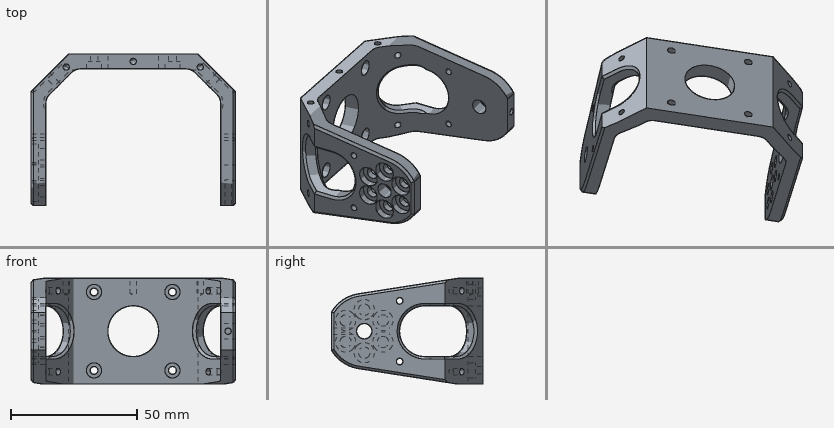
import cadquery as cq
import math

WIDTH = 81.0
DEPTH = 60.0
HEIGHT = 41.9
WALL = 6.0
CORNER_CUT = 15.0
INNER_FILLET = 5.0

NOSE_RADIUS = 15.0
PIVOT_TO_TIP = 13.0
TAPER_START = 10.0
ARM_CHAMFER = 1.0

WINDOW_WIDTH = 20.0
WINDOW_FRONT_CENTER = 23.0
WINDOW_REAR_CENTER = 10.0
WINDOW_CHAMFER = 1.0

MOTOR_BORE = 20.0
MOTOR_SCREW_PITCH = 31.0
MOTOR_SCREW_HOLE = 3.0
MOTOR_SCREW_HEAD = 6.0
MOTOR_HEAD_DEPTH = 3.0

PIVOT_BORE = 6.0
FLANGE_SCREWS = 6
FLANGE_CIRCLE_RADIUS = 8.5
FLANGE_SCREW_HOLE = 4.5
FLANGE_SCREW_HEAD = 8.0
FLANGE_HEAD_DEPTH = 3.0

SMALL_HOLE = 2.5
ARM_HOLE_FROM_REAR = 33.0
ARM_HOLE_PITCH = 24.0
ANGLED_HOLE_FROM_REAR = 8.4
ANGLED_HOLE_PITCH = 32.0
TOP_HOLE_X = 26.5
TOP_HOLE_DEPTH = 6.0
DRILL_POINT_ANGLE = 118.0

SIDE_X = WIDTH / 2
INNER_X = SIDE_X - WALL
TIP_Y = -PIVOT_TO_TIP
REAR_Y = TIP_Y + DEPTH
PLATE_Y = REAR_Y - WALL
CORNER_X = SIDE_X - CORNER_CUT
CORNER_Y = REAR_Y - CORNER_CUT
HALF_BEND = math.tan(math.radians(22.5))
MITRE = WALL * HALF_BEND
SIDES = (-1, 1)
OVERCUT = 5.0


def plan_body():
    """U-shaped plan, extruded over the full height, with rounded inner corners."""
    outer = [(SIDE_X, TIP_Y), (SIDE_X, CORNER_Y), (CORNER_X, REAR_Y)]
    inner = [(CORNER_X - MITRE, PLATE_Y), (INNER_X, CORNER_Y - MITRE), (INNER_X, TIP_Y)]
    left_outer = [(-x, y) for x, y in outer]
    left_inner = [(-x, y) for x, y in inner]
    points = left_outer + outer[::-1] + inner[::-1] + left_inner
    body = cq.Workplane("XY").polyline(points).close().extrude(HEIGHT / 2, both=True)
    for x, y in inner[:2]:
        for side in SIDES:
            corner = cq.selectors.NearestToPointSelector((side * x, y, 0))
            body = body.edges("|Z").edges(corner).fillet(INNER_FILLET)
    return body


def side_profile():
    """Side outline: full height at the rear, tapering tangentially into the nose."""
    top = HEIGHT / 2
    taper_y = REAR_Y - TAPER_START
    reach = math.hypot(taper_y, top)
    tangent_angle = math.atan2(top, taper_y) + math.acos(NOSE_RADIUS / reach)
    tangent_y = NOSE_RADIUS * math.cos(tangent_angle)
    tangent_z = NOSE_RADIUS * math.sin(tangent_angle)
    tip_z = math.sqrt(NOSE_RADIUS**2 - PIVOT_TO_TIP**2)
    mid_angle = (tangent_angle + math.atan2(tip_z, TIP_Y)) / 2
    mid_y = NOSE_RADIUS * math.cos(mid_angle)
    mid_z = NOSE_RADIUS * math.sin(mid_angle)
    return (
        cq.Workplane("YZ", origin=(-SIDE_X, 0, 0))
        .moveTo(REAR_Y, top)
        .lineTo(taper_y, top)
        .lineTo(tangent_y, tangent_z)
        .threePointArc((mid_y, mid_z), (TIP_Y, tip_z))
        .lineTo(TIP_Y, -tip_z)
        .threePointArc((mid_y, -mid_z), (tangent_y, -tangent_z))
        .lineTo(taper_y, -top)
        .lineTo(REAR_Y, -top)
        .close()
        .extrude(WIDTH)
    )


def chamfer_arm_rims(body):
    """Bevel the outer rim of both arms, except along the vertical rear corner."""
    ahead_of_corner = cq.selectors.BoxSelector(
        (-WIDTH, -DEPTH, -HEIGHT),
        (WIDTH, CORNER_Y - ARM_CHAMFER, HEIGHT),
    )
    rims = body.faces("<X or >X").edges(ahead_of_corner)
    return rims.chamfer(ARM_CHAMFER)


def angled_plane(side, from_rear):
    """Plane on an outer angled face; local x runs towards the arm, normal points outwards."""
    x = side * (CORNER_X + from_rear)
    return cq.Plane(origin=(x, REAR_Y - from_rear, 0), xDir=(side, -1, 0), normal=(side, 1, 0))


def window_run(plane, length):
    """Slot through one wall: a round end at the plane's origin, open along local x."""
    run = cq.Workplane(plane).circle(WINDOW_WIDTH / 2)
    run = run.extrude(WALL + OVERCUT, both=True)
    straight = cq.Workplane(plane).center(length / 2, 0)
    straight = straight.rect(length, WINDOW_WIDTH).extrude(WALL + OVERCUT, both=True)
    return run.union(straight)


def cut_window(body, side):
    """Window through the arm and, square to it, through the angled wall."""
    arm_y = REAR_Y - WINDOW_FRONT_CENTER
    arm_plane = cq.Plane(origin=(side * SIDE_X, arm_y, 0), xDir=(0, 1, 0), normal=(side, 0, 0))
    arm_run = window_run(arm_plane, CORNER_Y - arm_y)
    angled_length = (CORNER_CUT - WINDOW_REAR_CENTER) * math.sqrt(2)
    angled_run = window_run(angled_plane(side, WINDOW_REAR_CENTER), angled_length)
    return body.cut(arm_run).cut(angled_run)


def chamfer_window_outside(body, side):
    """Bevel the outer rim of one window, on the arm and on the angled wall."""
    box_top = WINDOW_WIDTH / 2 + WINDOW_CHAMFER / 2
    window_box = cq.selectors.BoxSelector(
        (side * CORNER_X / 2, 0, -box_top),
        (side * WIDTH, REAR_Y, box_top),
    )
    arm_face = cq.selectors.DirectionMinMaxSelector(cq.Vector(side, 0, 0), True)
    angled_face = cq.selectors.DirectionMinMaxSelector(cq.Vector(side, 1, 0), True)
    rims = body.faces(arm_face + angled_face).edges(window_box)
    return rims.chamfer(WINDOW_CHAMFER)


def inner_window_bevel():
    """Cutter for the inner rim of the +X window.

    The bevel follows the angled wall, turns with the inner fillet and runs out on the arm.
    """
    half_width = WINDOW_WIDTH / 2
    depth = WINDOW_CHAMFER
    center_x = CORNER_X + WINDOW_REAR_CENTER - WALL / math.sqrt(2)
    center_y = REAR_Y - WINDOW_REAR_CENTER - WALL / math.sqrt(2)
    across = cq.Plane(origin=(center_x, center_y, 0), xDir=(0, 0, 1), normal=(1, -1, 0))
    rear_arc = (
        cq.Workplane(across)
        .moveTo(0, -depth)
        .lineTo(half_width, -depth)
        .lineTo(half_width + depth, 0)
        .lineTo(half_width + depth, depth)
        .lineTo(0, depth)
        .close()
        .revolve(180, (0, 0, 0), (0, 1, 0))
    )
    fillet_tangent = INNER_FILLET * HALF_BEND
    to_corner = (CORNER_CUT - WINDOW_REAR_CENTER) * math.sqrt(2) - MITRE
    straight = (
        cq.Workplane(across)
        .moveTo(half_width, -depth)
        .lineTo(half_width + depth, 0)
        .lineTo(-half_width - depth, 0)
        .lineTo(-half_width, -depth)
        .close()
        .extrude(to_corner - fillet_tangent)
    )
    fillet_axis = (INNER_X - INNER_FILLET, CORNER_Y - MITRE - fillet_tangent, 0)
    corner_turn = (
        cq.Workplane("XZ", origin=fillet_axis)
        .moveTo(0, half_width + depth)
        .lineTo(INNER_FILLET, half_width + depth)
        .lineTo(INNER_FILLET + depth, half_width)
        .lineTo(INNER_FILLET + depth, -half_width)
        .lineTo(INNER_FILLET, -half_width - depth)
        .lineTo(0, -half_width - depth)
        .close()
        .revolve(360, (0, 0, 0), (0, 1, 0))
    )
    return rear_arc.union(straight).union(corner_turn)


def cut_motor_mount(body):
    """Central bore and four screw holes in the rear plate, counterbored from inside the U."""
    inside = cq.Plane(origin=(0, PLATE_Y, 0), xDir=(1, 0, 0), normal=(0, -1, 0))
    body = body.cut(cq.Workplane(inside).circle(MOTOR_BORE / 2).extrude(-WALL))
    square = cq.Workplane(inside).rect(MOTOR_SCREW_PITCH, MOTOR_SCREW_PITCH, forConstruction=True)
    screws = square.vertices()
    heads = screws.circle(MOTOR_SCREW_HEAD / 2).extrude(-MOTOR_HEAD_DEPTH)
    shanks = screws.circle(MOTOR_SCREW_HOLE / 2).extrude(-WALL)
    return body.cut(heads).cut(shanks)


def cut_flange_screws(body):
    """Ring of counterbored holes around the pivot, in the -X arm only."""
    outside = cq.Plane(origin=(-SIDE_X, 0, 0), xDir=(0, -1, 0), normal=(-1, 0, 0))
    ring = cq.Workplane(outside).polarArray(FLANGE_CIRCLE_RADIUS, 90, 360, FLANGE_SCREWS)
    heads = ring.circle(FLANGE_SCREW_HEAD / 2).extrude(-FLANGE_HEAD_DEPTH)
    shanks = ring.circle(FLANGE_SCREW_HOLE / 2).extrude(-WALL)
    return body.cut(heads).cut(shanks)


def cut_arm_holes(body):
    """Pivot bore and a pair of small holes, in line through both arms."""
    across = cq.Workplane("YZ", origin=(-SIDE_X, 0, 0))
    pivot = across.circle(PIVOT_BORE / 2).extrude(WIDTH)
    hole_y = REAR_Y - ARM_HOLE_FROM_REAR
    places = [(hole_y, sign * ARM_HOLE_PITCH / 2) for sign in SIDES]
    small_holes = across.pushPoints(places).circle(SMALL_HOLE / 2).extrude(WIDTH)
    return body.cut(pivot).cut(small_holes)


def cut_angled_holes(body, side):
    """Pair of small holes square through an angled wall, above and below the window."""
    places = [(0, sign * ANGLED_HOLE_PITCH / 2) for sign in SIDES]
    wall_face = cq.Workplane(angled_plane(side, ANGLED_HOLE_FROM_REAR))
    return body.cut(wall_face.pushPoints(places).circle(SMALL_HOLE / 2).extrude(-WALL))


def cut_top_holes(body):
    """Three blind drilled holes in the top edge, each midway through the wall."""
    radius = SMALL_HOLE / 2
    point_depth = radius / math.tan(math.radians(DRILL_POINT_ANGLE / 2))
    drill = (
        cq.Workplane("XZ")
        .moveTo(0, HEIGHT / 2)
        .lineTo(radius, HEIGHT / 2)
        .lineTo(radius, HEIGHT / 2 - TOP_HOLE_DEPTH)
        .lineTo(0, HEIGHT / 2 - TOP_HOLE_DEPTH - point_depth)
        .close()
        .revolve(360, (0, 0, 0), (0, 1, 0))
    )
    angled_y = REAR_Y - WALL / math.sqrt(2) - (TOP_HOLE_X - CORNER_X)
    for x, y in [(-TOP_HOLE_X, angled_y), (0, REAR_Y - WALL / 2), (TOP_HOLE_X, angled_y)]:
        body = body.cut(drill.translate((x, y, 0)))
    return body


def cut_tip_hole(body):
    """Set-screw hole from the tip of the +X arm into the pivot bore."""
    tip = cq.Plane(origin=(SIDE_X - WALL / 2, TIP_Y, 0), xDir=(1, 0, 0), normal=(0, -1, 0))
    return body.cut(cq.Workplane(tip).circle(SMALL_HOLE / 2).extrude(-PIVOT_TO_TIP))


result = plan_body().intersect(side_profile())
result = chamfer_arm_rims(result)
for arm_side in SIDES:
    result = cut_window(result, arm_side)
    result = chamfer_window_outside(result, arm_side)
    result = cut_angled_holes(result, arm_side)
bevel = inner_window_bevel()
result = result.cut(bevel).cut(bevel.mirror("YZ"))
result = cut_motor_mount(result)
result = cut_arm_holes(result)
result = cut_flange_screws(result)
result = cut_top_holes(result)
result = cut_tip_hole(result)